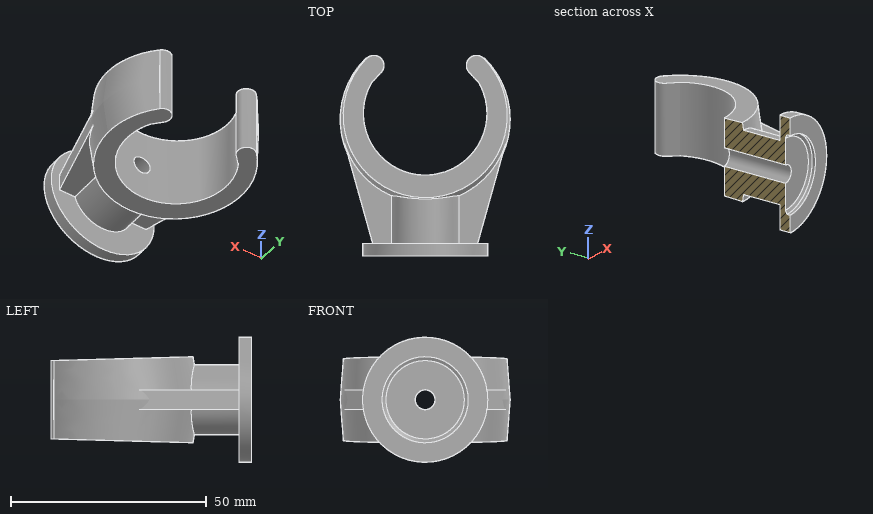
import cadquery as cq
import math


bore_radius = 15.75
mid_radius = 21.75
mid_center_y = -1.5
face_radius = 20.95
face_center_y = -0.6
face_height = 10.45
face_tilt = 1.55

tip_radius = 2.6
tip_x = 13.1
tip_y = 12.24
tip_distance = math.hypot(tip_x, tip_y)

flange_radius = 16.0
flange_thickness = 3.3
flange_front_y = -36.5
flange_back_y = flange_front_y + flange_thickness
recess_radius = 11.0
recess_floor_radius = 10.0
recess_wall_depth = 1.0
recess_cone_depth = 0.5

stem_radius = 9.0
screw_hole_radius = 2.5
web_thickness = 5.0
web_base_half_width = 13.45
web_end_half_width = 20.72
web_end_y = -7.2

through_height = 3 * face_height


def y_cylinder(radius, start_y, end_y):
    """Cylinder along Y between two Y positions."""
    base = cq.Workplane("XZ", origin=(0, start_y, 0))
    return base.circle(radius).extrude(start_y - end_y)


def ring_half(side):
    """Outer half of the ring, from half height to its tilted face (side is 1 or -1)."""
    tilt = math.radians(face_tilt)
    face = cq.Plane(
        origin=(0, face_center_y, side * face_height),
        xDir=(1, 0, 0),
        normal=(0, side * math.sin(tilt), math.cos(tilt)),
    )
    mid_wire = cq.Wire.makeCircle(mid_radius, cq.Vector(0, mid_center_y, 0), cq.Vector(0, 0, 1))
    face_wire = cq.Wire.makeCircle(face_radius, face.origin, face.zDir)
    return cq.Workplane(cq.Solid.makeLoft([mid_wire, face_wire], True))


def face_trim_block():
    """Wedge-shaped envelope between the two tilted faces."""
    slope = math.tan(math.radians(face_tilt))
    reach = 2 * mid_radius
    near_height = face_height + slope * (reach + face_center_y)
    far_height = face_height - slope * (reach - face_center_y)
    outline = [
        (-reach, -near_height),
        (reach, -far_height),
        (reach, far_height),
        (-reach, near_height),
    ]
    return cq.Workplane("YZ").polyline(outline).close().extrude(reach, both=True)


def opening_wedge():
    """Sector between the two arm ends."""
    reach = 2 * mid_radius / tip_distance
    far_x = reach * tip_x
    far_y = reach * tip_y
    outline = [(0, 0), (far_x, far_y), (-far_x, far_y)]
    return cq.Workplane("XY").polyline(outline).close().extrude(through_height / 2, both=True)


def arm_tip(side):
    """Round arm end with a flat run from its inner side to the bore."""
    round_end = (
        cq.Workplane("XY")
        .center(side * tip_x, tip_y)
        .circle(tip_radius)
        .extrude(through_height / 2, both=True)
    )
    inner_distance = tip_distance - tip_radius
    flat_length = math.sqrt(bore_radius**2 - inner_distance**2)
    outward = cq.Vector(side * tip_x, tip_y, 0)
    plane = cq.Plane(origin=(0, 0, 0), xDir=outward, normal=(0, 0, -side))
    flat = (
        cq.Workplane(plane)
        .polyline([
            (inner_distance, 0),
            (tip_distance, 0),
            (tip_distance, flat_length),
            (inner_distance, flat_length),
        ])
        .close()
        .extrude(through_height / 2, both=True)
    )
    return round_end.union(flat).intersect(face_trim_block())


def web():
    """Flat plate that widens from the flange to the sides of the ring."""
    outline = [
        (-web_base_half_width, flange_back_y),
        (web_base_half_width, flange_back_y),
        (web_end_half_width, web_end_y),
        (-web_end_half_width, web_end_y),
    ]
    return cq.Workplane("XY").polyline(outline).close().extrude(web_thickness / 2, both=True)


def flange_recess():
    """Round recess with a straight wall and a conical step down to its floor."""
    wall_end_y = flange_front_y + recess_wall_depth
    floor_y = wall_end_y + recess_cone_depth
    profile = [
        (0, flange_front_y),
        (recess_radius, flange_front_y),
        (recess_radius, wall_end_y),
        (recess_floor_radius, floor_y),
        (0, floor_y),
    ]
    return cq.Workplane("XY").polyline(profile).close().revolve(360, (0, 0, 0), (0, 1, 0))


body = ring_half(1).union(ring_half(-1))
body = body.union(y_cylinder(stem_radius, flange_back_y, -bore_radius))
body = body.union(web())
body = body.union(y_cylinder(flange_radius, flange_front_y, flange_back_y))

body = body.cut(cq.Workplane("XY").circle(bore_radius).extrude(through_height / 2, both=True))
body = body.cut(opening_wedge())
body = body.cut(flange_recess())
body = body.cut(y_cylinder(screw_hole_radius, flange_front_y, 0))

for side in (1, -1):
    body = body.union(arm_tip(side))

result = body